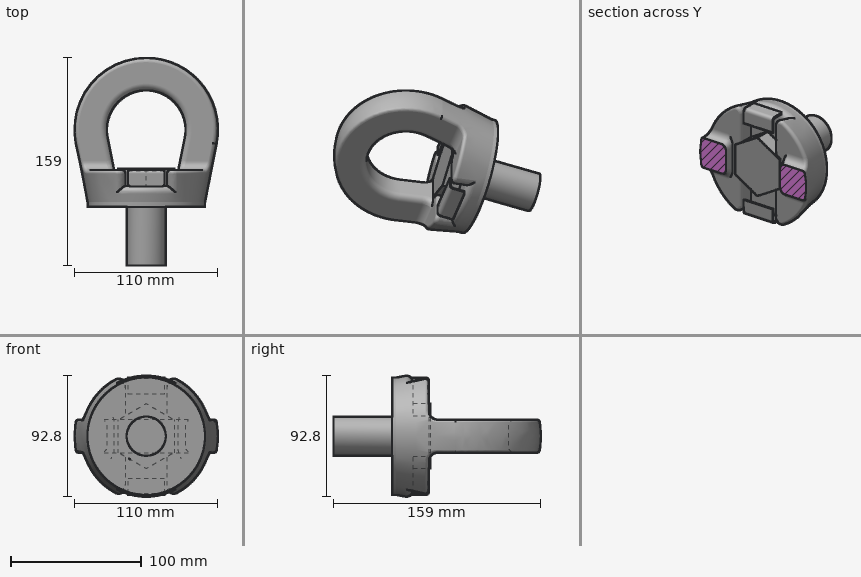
import cadquery as cq
import math


stud_diameter = 30.0
stud_length = 45.0
head_across_flats = 43.0
head_across_corners = head_across_flats / math.cos(math.pi / 6)
head_protrusion = 1.0

flange_radius = 45.0
flange_thickness = 3.3
base_length = 28.2

overall_length = 159.0
eye_radius = 55.0
eye_centre = overall_length - stud_length - eye_radius
eye_thickness = 25.5
opening_radius = 30.0
eye_root_radius = 6.5

outer_edge_radius = 2.5
opening_edge_radius = 5.0
pocket_edge_radius = 5.0

pocket_width = 32.0
pocket_front = 15.9

clip_width = 27.8
clip_thickness = 1.0
clip_top = 45.0
clip_bottom = 32.4
clip_front = 15.7
clip_bend_radius = 3.0
clip_corner_radius = 1.5

beyond = overall_length
slack = 1.0

rim_distance = math.hypot(flange_radius, eye_centre - flange_thickness)
rim_angle = math.atan2(eye_centre - flange_thickness, flange_radius)
flank_angle = rim_angle - math.acos(eye_radius / rim_distance)


def flank_point(radius):
    """Point on the +X side where a circle about the eye centre meets its flank line."""
    return (radius * math.cos(flank_angle), eye_centre - radius * math.sin(flank_angle))


def turned_envelope():
    """Flange, cone and ball turned about Y; it bounds the base and crowns the eye."""
    diagonal = eye_radius * math.sqrt(0.5)
    profile = (
        cq.Workplane("XY")
        .lineTo(flange_radius, 0)
        .lineTo(flange_radius, flange_thickness)
        .lineTo(*flank_point(eye_radius))
        .threePointArc((diagonal, eye_centre + diagonal), (0, eye_centre + eye_radius))
        .close()
    )
    return profile.revolve(360, (0, 0, 0), (0, 1, 0))


def base_block():
    """Oversized block from the flange face to the back of the base."""
    return cq.Workplane("XY").box(beyond, base_length, beyond, centered=(True, False, True))


def side_profile():
    """Wide base and thin eye seen along X, with concave rounds where they meet."""
    eye = cq.Workplane("XY").box(beyond, beyond, eye_thickness, centered=(True, False, True))
    half_height = eye_thickness / 2 + slack
    root = cq.selectors.BoxSelector(
        (-beyond, base_length - slack, -half_height), (beyond, base_length + slack, half_height)
    )
    return base_block().union(eye).edges("|X").edges(root).fillet(eye_root_radius)


def eye_opening():
    """Round opening whose straight flanks close in towards the bolt axis, down to the flange."""
    flank_x, flank_y = flank_point(opening_radius)
    foot_x = flank_x - flank_y * math.tan(flank_angle)
    return (
        cq.Workplane("XY")
        .moveTo(-foot_x, 0)
        .lineTo(foot_x, 0)
        .lineTo(flank_x, flank_y)
        .threePointArc((0, eye_centre + opening_radius), (-flank_x, flank_y))
        .close()
        .extrude(beyond, both=True)
    )


def opened_side_profile():
    """Side profile with the opening cut, its edges rounded, and the base filled in again."""
    half_height = eye_thickness / 2 + slack
    around_opening = cq.selectors.BoxSelector(
        (-opening_radius, eye_centre, -half_height),
        (opening_radius, eye_centre + opening_radius, half_height),
    )
    opened = side_profile().cut(eye_opening())
    rounded = opened.edges("%CIRCLE").edges(around_opening).fillet(opening_edge_radius)
    return rounded.union(base_block())


def cut_pockets(solid):
    """Cut a slot across the back of the base, open at +Z and -Z."""
    depth = base_length - pocket_front
    slot = cq.Workplane("XY").box(pocket_width, depth, beyond, centered=(True, False, True))
    return solid.cut(slot.translate((0, pocket_front, 0)))


def round_pocket_rims(solid):
    """Round the rims where the pocket walls run out through the cone.

    The material the round takes off is found for half of the +Z pocket and mirrored, so that
    all four corners are mitred alike.
    """
    half_width = pocket_width / 2 + slack
    rim = cq.selectors.BoxSelector(
        (-half_width, pocket_front - slack, flange_radius - pocket_edge_radius),
        (half_width, base_length - slack, flange_radius + pocket_edge_radius),
    )
    rounded = solid.edges(rim).fillet(pocket_edge_radius)
    half_space = cq.Workplane("XY").box(beyond, beyond, beyond, centered=(False, True, False))
    half_rim = solid.cut(rounded).intersect(half_space)
    whole_rim = half_rim.union(half_rim.mirror("YZ")).clean()
    return solid.cut(whole_rim).cut(whole_rim.mirror("XY")).clean()


def round_outer_edges(solid):
    """Round the back of the base; tangent edges carry the round along pockets and eye outline."""
    back_plane = cq.selectors.BoxSelector(
        (-eye_radius, base_length - slack, -eye_radius),
        (eye_radius, base_length + slack, eye_radius),
    )
    return solid.edges("%CIRCLE").edges(back_plane).fillet(outer_edge_radius)


def head_and_stud():
    """Hexagon head with corners at +Z and -Z, seated in the base, and the plain stud."""
    head_end = base_length + head_protrusion
    head = (
        cq.Workplane("XZ", origin=(0, head_end, 0))
        .polygon(6, head_across_corners)
        .extrude(head_end - pocket_front)
        .rotate((0, 0, 0), (0, 1, 0), 30)
    )
    stud = cq.Workplane("XZ", origin=(0, pocket_front, 0)).circle(stud_diameter / 2)
    return head.union(stud.extrude(pocket_front + stud_length))


def make_eye_bolt():
    """Crowned eye and conical base with pockets, head and stud."""
    solid = turned_envelope().intersect(opened_side_profile())
    solid = cut_pockets(solid)
    solid = round_pocket_rims(solid)
    solid = round_outer_edges(solid)
    return solid.union(head_and_stud())


def make_clip():
    """Thin angle: a tab over the pocket and a bent leg down its open back."""
    inner_y = base_length - clip_thickness
    inner_z = clip_top - clip_thickness
    angle = (
        cq.Workplane("YZ")
        .moveTo(clip_front, clip_top)
        .lineTo(base_length, clip_top)
        .lineTo(base_length, clip_bottom)
        .lineTo(inner_y, clip_bottom)
        .lineTo(inner_y, inner_z)
        .lineTo(clip_front, inner_z)
        .close()
        .extrude(clip_width / 2, both=True)
    )
    inner_bend = cq.selectors.NearestToPointSelector((0, inner_y, inner_z))
    angle = angle.edges("|X and >Y and >Z").fillet(clip_bend_radius)
    angle = angle.edges("|X").edges(inner_bend).fillet(clip_bend_radius - clip_thickness)
    return angle.edges("|Z and <Y").fillet(clip_corner_radius)


eye_bolt = make_eye_bolt()
clips = [make_clip().rotate((0, 0, 0), (0, 1, 0), turn) for turn in (0, 180)]

result = cq.Compound.makeCompound([eye_bolt.val(), *(clip.val() for clip in clips)])